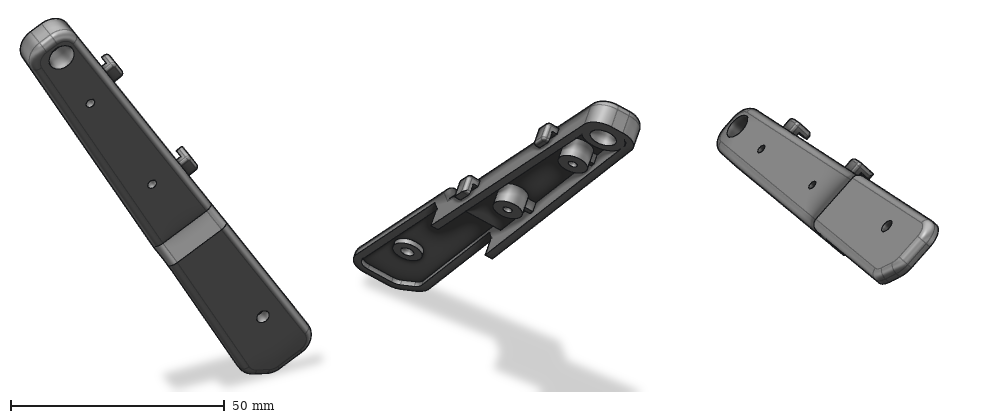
import cadquery as cq
import math

tilt = math.radians(27.7)
taper = math.radians(3.0)
straight_edge = -7.2
tapered_edge = 6.0
head_end = -6.1
foot_end = 117.3
foot_corner = -1.5
foot_slant = math.radians(42)
corner_radius = 5.0

upper_top = 7.0
wall = 2.0
step = 4.0
lower_top = upper_top + step
upper_floor = upper_top - wall
lower_floor = lower_top - wall
lower_rim = 7.6
floor_step = 67.0
outer_step = floor_step - wall * math.tan(math.radians(22.5))
rim_end = 72.0
reach = 143.9

pivot_hole = 6.4
pivot_boss = 10.6
screw_boss = 7.2
upper_screws = [(17.0, -0.5), (49.1, 0.5)]
upper_screw_hole = 2.2
lower_screw = (100.0, 4.1)
lower_screw_hole = 3.2
rib_width = 1.4
rib_height = 2.5

upper_tab = 13.4
lower_tab = 51.1
tab_length = 5.0
tab_gap = 1.3
tab_lip = 1.8
tab_stem = 2.0
tab_corner_radius = 1.0
tab_rounding = 0.8


def arm_point(u, v):
    """(y, z) of a point of the arm."""
    y = u * math.sin(tilt) + v * math.cos(tilt)
    z = v * math.sin(tilt) - u * math.cos(tilt)
    return y, z


def tapered_v(u):
    """v of the tapered edge at the distance u."""
    return tapered_edge + u * math.tan(taper)


def prism(points, bottom, top):
    """Straight block along X over a polygon of (u, v) points."""
    corners = [arm_point(u, v) for u, v in points]
    return cq.Workplane("YZ").workplane(offset=bottom).polyline(corners).close().extrude(top - bottom)


def cylinder(center, diameter, bottom, top):
    y, z = arm_point(*center)
    return cq.Workplane("YZ", origin=(bottom, y, z)).circle(diameter / 2).extrude(top - bottom)


def profile_block(points):
    """Block across the full width of the arm over a polygon of (u, X) points."""
    u_direction = (0, *arm_point(1, 0))
    across = (0, *arm_point(0, -1))
    plane = cq.Plane((0, 0, 0), xDir=u_direction, normal=across)
    return cq.Workplane(plane).polyline(points).close().extrude(reach / 2, both=True)


def outline_block():
    """Full-thickness block over the rounded outline of the arm."""
    slant_length = (foot_corner - straight_edge) * math.tan(foot_slant)
    corners = [
        (head_end, straight_edge),
        (head_end, tapered_v(head_end)),
        (foot_end, tapered_v(foot_end)),
        (foot_end, foot_corner),
        (foot_end - slant_length, straight_edge),
    ]
    return prism(corners, 0, lower_top).edges("|X").fillet(corner_radius)


def stepped_body():
    """Solid arm with its step and with the rim of its outer face rounded."""
    profile = profile_block([
        (-reach, 0),
        (rim_end, 0),
        (rim_end, upper_floor),
        (rim_end + lower_rim - upper_floor, lower_rim),
        (reach, lower_rim),
        (reach, lower_top),
        (outer_step + step, lower_top),
        (outer_step, upper_top),
        (-reach, upper_top),
    ])
    body = outline_block().intersect(profile)
    outer_faces = [face for face in body.faces().vals() if face.normalAt().x > 0.5]
    edges = [edge for face in outer_faces for edge in face.Edges()]
    rim = [edge for edge in edges if sum(edge.isSame(other) for other in edges) == 1]
    return body.newObject(rim).fillet(wall)


def pocket():
    """Hollow on the open side, a wall thickness inside the outline and stepped like the arm."""
    inset = outline_block().faces("<X").wires().toPending().offset2D(-wall)
    profile = profile_block([
        (-reach, 0),
        (reach, 0),
        (reach, lower_floor),
        (floor_step + step, lower_floor),
        (floor_step, upper_floor),
        (-reach, upper_floor),
    ])
    return inset.extrude(lower_top, combine=False).intersect(profile)


def rib(center):
    """Rib on the floor from a screw boss to the straight wall."""
    u, v = center
    half = rib_width / 2
    inside_wall = straight_edge + wall / 2
    corners = [(u - half, v), (u + half, v), (u + half, inside_wall), (u - half, inside_wall)]
    return prism(corners, upper_floor - rib_height, upper_floor)


def tab_block(start, inner, outer, bottom):
    """Block beside the tapered edge, from one distance off the edge to another."""
    corners = []
    for along, out in [(0, inner), (tab_length, inner), (tab_length, outer), (0, outer)]:
        u = start + along * math.cos(taper) - out * math.sin(taper)
        v = tapered_v(start) + along * math.sin(taper) + out * math.cos(taper)
        corners.append((u, v))
    return prism(corners, bottom, upper_floor)


def tab(start, round_outer_edge):
    """Hook on the tapered edge: a stem that carries a lip standing off the edge by a gap.

    The open side of the lip is rounded along both ends and, if asked, along its outer edge.
    """
    out = cq.Vector(0, *arm_point(-math.sin(taper), math.cos(taper)))
    farthest_out = cq.selectors.DirectionMinMaxSelector(out, True)
    nearest_in = cq.selectors.DirectionMinMaxSelector(out, False)
    across_x = cq.StringSyntaxSelector("#X")

    block = tab_block(start, tab_gap, tab_gap + tab_lip, 0)
    lip = block.edges("|X").edges(farthest_out).fillet(tab_corner_radius)
    if round_outer_edge:
        lip = lip.faces("<X").edges(across_x - nearest_in).fillet(tab_rounding)
    else:
        end_edges = cq.selectors.ParallelDirSelector(out)
        lip = lip.intersect(block.faces("<X").edges(end_edges).fillet(tab_rounding))

    stem = tab_block(start, 0, tab_gap, upper_floor - tab_stem)
    hook = lip.union(stem)
    return hook.faces(">X").edges(across_x - nearest_in).fillet(tab_rounding)


result = stepped_body().cut(pocket())

result = result.union(cylinder((0, 0), pivot_boss, 0, upper_floor))
result = result.cut(cylinder((0, 0), pivot_hole, 0, upper_top))

for center in upper_screws:
    result = result.union(cylinder(center, screw_boss, 0, upper_floor)).union(rib(center))
    result = result.cut(cylinder(center, upper_screw_hole, 0, upper_top))
result = result.union(cylinder(lower_screw, screw_boss, lower_rim, lower_floor))
result = result.cut(cylinder(lower_screw, lower_screw_hole, lower_rim, lower_top))

result = result.union(tab(upper_tab, True)).union(tab(lower_tab, False))